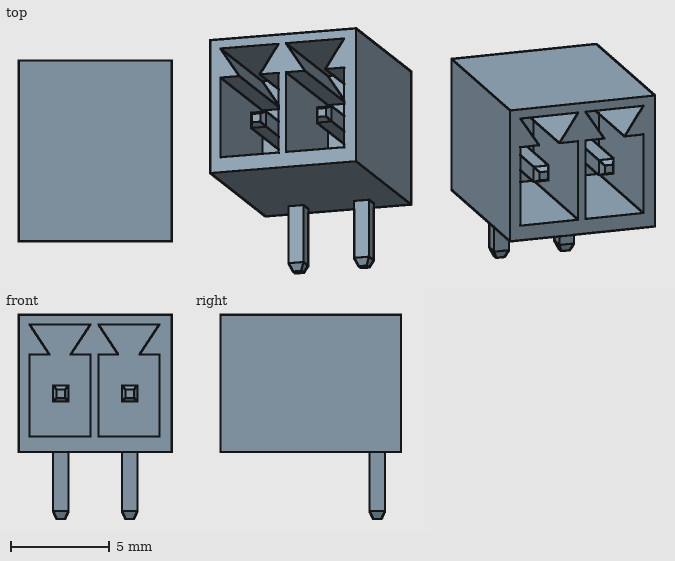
import cadquery as cq

width = 7.8
depth = 9.2
total_height = 10.4
body_height = 7.0
pin_drop = total_height - body_height

pitch = 3.5
pin_centers = [width / 2 - pitch / 2, width / 2 + pitch / 2]

pin_size = 0.8
tip_size = 0.44
tip_length = 0.41
contact_z = 2.98
contact_recess = 1.0
pin_from_back = 1.22

socket_offset = -0.04
socket_width = 3.11
socket_floor = 0.79
shoulder_z = 4.98
keyway_top = 6.51
neck_width = 1.09
back_wall = 2.24
socket_depth = depth - back_wall


def make_socket(x):
    """Dovetailed opening centred at x, cut inward from the front face."""
    half = socket_width / 2
    half_neck = neck_width / 2
    outline = [
        (x - half, socket_floor),
        (x + half, socket_floor),
        (x + half, shoulder_z),
        (x + half_neck, shoulder_z),
        (x + half, keyway_top),
        (x - half, keyway_top),
        (x - half_neck, shoulder_z),
        (x - half, shoulder_z),
    ]
    return cq.Workplane("XZ").polyline(outline).close().extrude(-socket_depth)


def make_pin(start, direction, length):
    """Square pin running from start along direction, tapered at its far end."""
    plane = cq.Plane(origin=start, xDir=(1, 0, 0), normal=direction)
    shank_length = length - tip_length
    shank = cq.Workplane(plane).rect(pin_size, pin_size).extrude(shank_length)
    tip = (
        cq.Workplane(plane)
        .workplane(offset=shank_length)
        .rect(pin_size, pin_size)
        .workplane(offset=tip_length)
        .rect(tip_size, tip_size)
        .loft(ruled=True)
    )
    return shank.union(tip)


result = cq.Workplane("XY").box(width, depth, body_height, centered=False)

for pin_x in pin_centers:
    result = result.cut(make_socket(pin_x + socket_offset))

pin_y = depth - pin_from_back
for pin_x in pin_centers:
    corner = (pin_x, pin_y, contact_z)
    contact = make_pin(corner, (0, -1, 0), pin_y - contact_recess)
    leg = make_pin(corner, (0, 0, -1), contact_z + pin_drop)
    result = result.union(contact).union(leg)